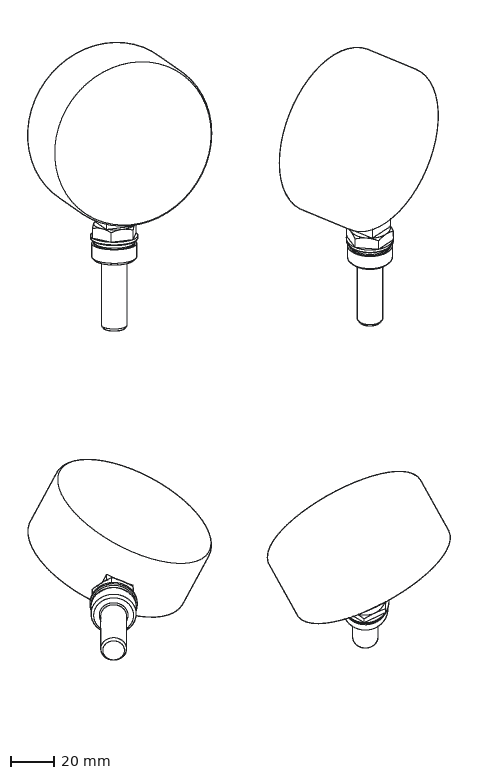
import cadquery as cq
import math

total_height = 136.0

case_radius = 40.3
case_front = -9.5
case_back = 22.5
case_center_z = total_height - case_radius
front_round = 2.0
rear_round_length = 1.9
rear_round_drop = 1.0

neck_width = 13.6
neck_overlap = 10.9

hex_across_flats = 19.0
hex_bottom = 44.9
hex_top = 50.5
hex_bevel_height = 1.0
hex_corner_radius = hex_across_flats / 2 / math.cos(math.pi / 6)

tip_chamfer = 1.0
tip_chamfer_height = 1.4
shaft_radius = 6.0
shaft_flare = 0.7
collar_radius = 10.5
collar_bottom = 33.3
collar_top = 41.5
collar_chamfer = 1.2
groove_radius = 9.2
groove_edge_chamfer = 0.4
flange_bottom = 43.1
flange_bevel = 0.5


def make_case():
    """Revolve the case profile: full round at the front, shallower arc at the rear."""
    front_mid = front_round * (1 - math.sqrt(0.5))
    profile = (
        cq.Workplane("XY")
        .moveTo(case_front, 0)
        .lineTo(case_front, case_radius - front_round)
        .threePointArc(
            (case_front + front_mid, case_radius - front_mid),
            (case_front + front_round, case_radius),
        )
        .lineTo(case_back - rear_round_length, case_radius)
        .tangentArcPoint((case_back, case_radius - rear_round_drop), relative=False)
        .lineTo(case_back, 0)
        .close()
    )
    return profile.revolve(360, (0, 0, 0), (1, 0, 0)).translate((0, 0, case_center_z))


def make_neck():
    """Square bar from the top of the nut into the case."""
    neck_top = case_center_z - case_radius + neck_overlap
    return (
        cq.Workplane("XY", origin=(0, 0, hex_top))
        .rect(neck_width, neck_width)
        .extrude(neck_top - hex_top)
    )


def make_nut():
    """Hexagon with its upper corners turned down to a cone."""
    hexagon = (
        cq.Workplane("XY", origin=(0, 0, hex_bottom))
        .polygon(6, 2 * hex_corner_radius)
        .extrude(hex_top - hex_bottom)
        .rotate((0, 0, 0), (0, 0, 1), 90)
    )
    bevel_envelope = (
        cq.Workplane("XZ")
        .moveTo(0, hex_bottom)
        .lineTo(hex_corner_radius, hex_bottom)
        .lineTo(hex_corner_radius, hex_top - hex_bevel_height)
        .lineTo(hex_across_flats / 2, hex_top)
        .lineTo(0, hex_top)
        .close()
        .revolve(360, (0, 0, 0), (0, 1, 0))
    )
    return hexagon.intersect(bevel_envelope)


def make_stem():
    """Turned shaft, collar, groove and the flange under the nut."""
    flange_radius = hex_corner_radius
    outline = [
        (0, 0),
        (shaft_radius - tip_chamfer, 0),
        (shaft_radius, tip_chamfer_height),
        (shaft_radius, collar_bottom - shaft_flare),
        (shaft_radius + shaft_flare, collar_bottom),
        (collar_radius - collar_chamfer, collar_bottom),
        (collar_radius, collar_bottom + collar_chamfer),
        (collar_radius, collar_top - groove_edge_chamfer),
        (groove_radius + groove_edge_chamfer, collar_top - groove_edge_chamfer),
        (groove_radius, collar_top),
        (groove_radius, flange_bottom),
        (flange_radius - flange_bevel, flange_bottom),
        (flange_radius, flange_bottom + flange_bevel),
        (flange_radius, hex_bottom),
        (0, hex_bottom),
    ]
    return cq.Workplane("XZ").polyline(outline).close().revolve(360, (0, 0, 0), (0, 1, 0))


result = make_case().union(make_neck()).union(make_nut()).union(make_stem())